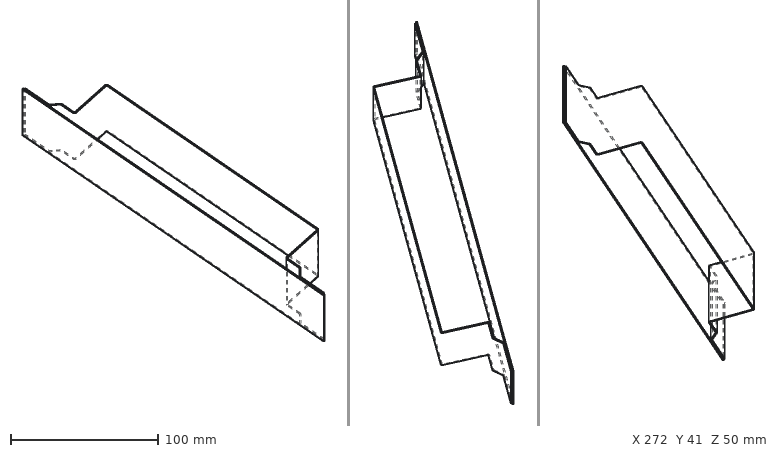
import cadquery as cq
import math

LENGTH = 272.0
DEPTH = 41.0
HEIGHT = 50.0

PANEL_THICKNESS = 1.0

SHEET = 0.95
INNER_BEND_RADIUS = 0.4
OUTER_BEND_RADIUS = INNER_BEND_RADIUS + SHEET
BOX_HALF_WIDTH = 96.0
SHELF_HALF_WIDTH = 108.0
FLANGE_INNER = 113.5
FLANGE_OUTER = 135.0
SHELF_RISE = 7.0


def make_panel():
    """Flat plate whose front face lies on Y = 0."""
    return cq.Workplane("XY").box(LENGTH, PANEL_THICKNESS, HEIGHT, centered=(True, False, True))


def round_bend(body, corners, radius):
    """Fillet the upright edges at the given corners and at their mirror images in X."""
    for x, y in corners:
        for side in (-1, 1):
            edge = body.edges("|Z").edges(cq.selectors.NearestToPointSelector((side * x, y, 0)))
            body = edge.fillet(radius)
    return body


def make_bracket():
    """Hat-shaped folded sheet, open at the top and bottom."""
    flange_front = PANEL_THICKNESS
    flange_rear = flange_front + SHEET
    shelf_rear = flange_front + SHELF_RISE
    shelf_front = shelf_rear - SHEET
    wall_inner = BOX_HALF_WIDTH - SHEET

    slope_angle = math.atan2(shelf_rear - flange_rear, FLANGE_INNER - SHELF_HALF_WIDTH)
    slope_shift = SHEET * math.tan(slope_angle / 2)

    box_rear = (BOX_HALF_WIDTH, DEPTH)
    box_front = (wall_inner, DEPTH - SHEET)
    wall_foot_rear = (BOX_HALF_WIDTH, shelf_rear)
    wall_foot_front = (wall_inner, shelf_front)
    slope_top_rear = (SHELF_HALF_WIDTH, shelf_rear)
    slope_top_front = (SHELF_HALF_WIDTH - slope_shift, shelf_front)
    slope_foot_rear = (FLANGE_INNER, flange_rear)
    slope_foot_front = (FLANGE_INNER - slope_shift, flange_front)
    flange_end = [(FLANGE_OUTER, flange_rear), (FLANGE_OUTER, flange_front)]

    right_half = [box_rear, wall_foot_rear, slope_top_rear, slope_foot_rear]
    right_half += flange_end
    right_half += [slope_foot_front, slope_top_front, wall_foot_front, box_front]
    left_half = [(-x, y) for x, y in reversed(right_half)]

    bracket = (
        cq.Workplane("XY")
        .workplane(offset=-HEIGHT / 2)
        .polyline(right_half + left_half)
        .close()
        .extrude(HEIGHT)
    )
    outer_corners = [box_rear, wall_foot_front, slope_top_rear, slope_foot_front]
    inner_corners = [box_front, wall_foot_rear, slope_top_front, slope_foot_rear]
    bracket = round_bend(bracket, outer_corners, OUTER_BEND_RADIUS)
    return round_bend(bracket, inner_corners, INNER_BEND_RADIUS)


panel = make_panel()
bracket = make_bracket()

result = cq.Compound.makeCompound([panel.val(), bracket.val()])